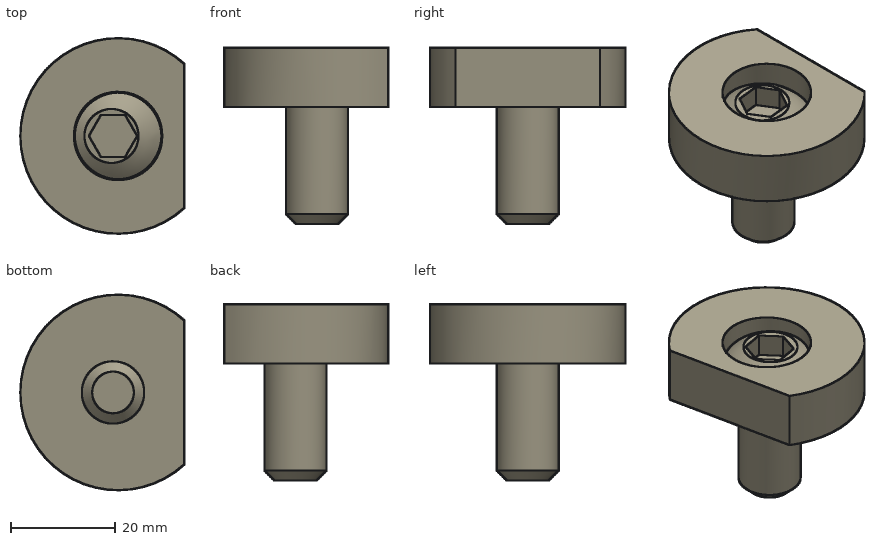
import cadquery as cq
import math

washer_diameter = 37.6
washer_thickness = 11.43
flat_distance = 12.7
bore_diameter = 17.0
seat_height = 3.0

head_diameter = 16.6
head_top_depth = 1.8
dome_radius = 12.03
dome_offset = -1.28
dome_flat_radius = 5.2
screw_offset = -0.98
shank_diameter = 12.0
shank_length = 22.48
tip_chamfer = 2.0
socket_across_flats = 8.05
socket_depth = 4.5

head_top_z = washer_thickness - head_top_depth
dome_center_z = head_top_z - math.sqrt(dome_radius**2 - dome_flat_radius**2)


def make_washer():
    """Disc with a flat on +X and a blind bore for the head and a hole for the shank."""
    disc = cq.Workplane("XY").circle(washer_diameter / 2).extrude(washer_thickness)
    flat_side = (
        cq.Workplane("XY")
        .center(flat_distance, 0)
        .rect(washer_diameter, washer_diameter)
        .extrude(washer_thickness)
        .translate((washer_diameter / 2, 0, 0))
    )
    bore = (
        cq.Workplane("XY", origin=(0, 0, seat_height))
        .circle(bore_diameter / 2)
        .extrude(washer_thickness - seat_height)
    )
    shank_hole = (
        cq.Workplane("XY")
        .center(screw_offset, 0)
        .circle(shank_diameter / 2)
        .extrude(seat_height)
    )
    return disc.cut(flat_side).cut(bore).cut(shank_hole)


def make_head():
    """Round cam head whose domed top is a sphere off the head axis."""
    cylinder = (
        cq.Workplane("XY", origin=(0, 0, seat_height))
        .circle(head_diameter / 2)
        .extrude(head_top_z - seat_height)
    )
    dome = cq.Workplane("XY").sphere(dome_radius).translate((dome_offset, 0, dome_center_z))
    return cylinder.intersect(dome)


def make_shank():
    """Eccentric shank below the head with a chamfered tip."""
    return (
        cq.Workplane("XY", origin=(screw_offset, 0, seat_height))
        .circle(shank_diameter / 2)
        .extrude(-(seat_height + shank_length))
        .faces("<Z")
        .chamfer(tip_chamfer)
    )


def make_socket():
    """Hexagonal key socket, with corners along X, sunk from the head top."""
    across_corners = socket_across_flats / math.cos(math.pi / 6)
    return (
        cq.Workplane("XY", origin=(screw_offset, 0, head_top_z))
        .polygon(6, across_corners)
        .extrude(-socket_depth)
    )


washer = make_washer()
cam_screw = make_head().union(make_shank()).cut(make_socket())

result = cq.Compound.makeCompound([washer.val(), *cam_screw.vals()])